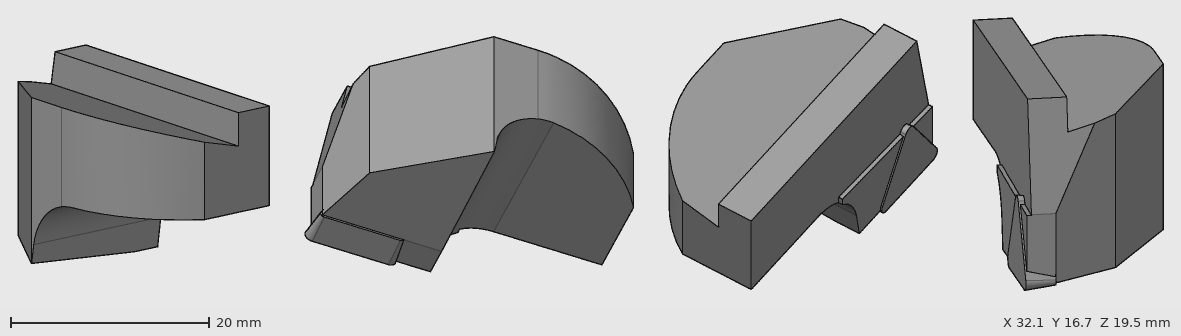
import cadquery as cq
import math


LENGTH = 32.1
TOP_LEFT_X = 2.7
NOSE_X = 0.6
NOSE_TOP_Z = -11.55
BOTTOM_Z = -18.85
BOTTOM_RIGHT_X = 13.6
SHANK_BOTTOM_Z = -10.43
RELIEF_RADIUS = 6.25
RELIEF_CENTRE_X = 20.3
RELIEF_LEAN = 10.0

FRONT_Y = -16.02
NOSE_FRONT_Y = -2.5
BEVEL_CORNER = (3.05, -9.1)
FLAT_START_X = 13.75
FLAT_END_X = 18.55
RIGHT_FRONT_Y = -8.4

RAIL_WIDTH = 4.0
RAIL_HEIGHT = 3.5
TOP_SLOPE = 15.0
BOTTOM_SLOPE = 5.0

PAD_HEIGHT = 0.48
PAD_RIGHT_X = 16.6
PAD_LEFT_Z = -11.62
PAD_RIGHT_Z = -10.82

INSERT_BACK_Y = 0.67
INSERT_BOTTOM_Z = -19.5
INSERT_HEIGHT = 8.8
INSERT_CORNER_RADIUS = 0.8
INSERT_CLEARANCE = 7.0
INSERT_THICKNESS = INSERT_BACK_Y - NOSE_FRONT_Y


def extrude_in_y(outline, start_y, end_y):
    """Extrude a closed XZ outline between two Y positions."""
    return outline.extrude(start_y - end_y).translate((0, start_y, 0))


def side_outline():
    """Holder outline with the leaning nose and the arc relief under the shank."""
    centre_z = SHANK_BOTTOM_Z - RELIEF_RADIUS

    def relief_point(angle):
        return (
            RELIEF_CENTRE_X + RELIEF_RADIUS * math.cos(math.radians(angle)),
            centre_z + RELIEF_RADIUS * math.sin(math.radians(angle)),
        )

    low_angle = 180 - RELIEF_LEAN
    return (
        cq.Workplane("XZ")
        .moveTo(TOP_LEFT_X, 0)
        .lineTo(LENGTH, 0)
        .lineTo(LENGTH, SHANK_BOTTOM_Z)
        .lineTo(RELIEF_CENTRE_X, SHANK_BOTTOM_Z)
        .threePointArc(relief_point((90 + low_angle) / 2), relief_point(low_angle))
        .lineTo(BOTTOM_RIGHT_X, BOTTOM_Z)
        .lineTo(NOSE_X, BOTTOM_Z)
        .lineTo(NOSE_X, NOSE_TOP_Z)
        .close()
    )


def plan_prism():
    """Vertical prism with the bevelled left front and the rounded right front."""
    run = LENGTH - FLAT_END_X
    rise = RIGHT_FRONT_Y - FRONT_Y
    radius = (run**2 + rise**2) / (2 * rise)
    half_angle = math.atan2(rise, run)
    arc_middle = (
        FLAT_END_X + radius * math.sin(half_angle),
        FRONT_Y + radius * (1 - math.cos(half_angle)),
    )
    return (
        cq.Workplane("XY")
        .moveTo(NOSE_X, 0)
        .lineTo(NOSE_X, NOSE_FRONT_Y)
        .lineTo(*BEVEL_CORNER)
        .lineTo(FLAT_START_X, FRONT_Y)
        .lineTo(FLAT_END_X, FRONT_Y)
        .threePointArc(arc_middle, (LENGTH, RIGHT_FRONT_Y))
        .lineTo(LENGTH, 0)
        .close()
        .extrude(BOTTOM_Z)
    )


def end_prism():
    """Prism along X with the rail, the sloped top and the sloped bottom."""
    top_rise = (-FRONT_Y - RAIL_WIDTH) * math.tan(math.radians(TOP_SLOPE))
    bottom_rise = (NOSE_FRONT_Y - FRONT_Y) * math.tan(math.radians(BOTTOM_SLOPE))
    return (
        cq.Workplane("YZ")
        .moveTo(0, 0)
        .lineTo(-RAIL_WIDTH, 0)
        .lineTo(-RAIL_WIDTH, -RAIL_HEIGHT)
        .lineTo(FRONT_Y, -RAIL_HEIGHT + top_rise)
        .lineTo(FRONT_Y, BOTTOM_Z + bottom_rise)
        .lineTo(NOSE_FRONT_Y, BOTTOM_Z)
        .lineTo(0, BOTTOM_Z)
        .close()
        .extrude(LENGTH)
    )


def make_pad():
    """Low raised pad on the back plane, trimmed to the holder's side outline."""
    outline = cq.Workplane("XZ").polyline([
        (NOSE_X, PAD_LEFT_Z),
        (PAD_RIGHT_X, PAD_RIGHT_Z),
        (PAD_RIGHT_X, BOTTOM_Z),
        (NOSE_X, BOTTOM_Z),
    ]).close()
    pad = extrude_in_y(outline, PAD_HEIGHT, 0)
    return pad.intersect(extrude_in_y(side_outline(), PAD_HEIGHT, 0))


def make_insert():
    """Equilateral insert with rounded corners, narrowing toward its seat."""
    radius = INSERT_CORNER_RADIUS
    centre_side = (INSERT_HEIGHT - 2 * radius) / math.sin(math.radians(60))
    middle_x = radius + centre_side / 2
    base_z = INSERT_BOTTOM_Z + radius
    outline = (
        cq.Workplane("XZ")
        .polyline([
            (radius, base_z),
            (radius + centre_side, base_z),
            (middle_x, INSERT_BOTTOM_Z + INSERT_HEIGHT - radius),
        ])
        .close()
        .offset2D(radius)
    )
    insert = outline.extrude(INSERT_THICKNESS, taper=INSERT_CLEARANCE)
    return insert.translate((0, INSERT_BACK_Y, 0))


def make_holder(insert):
    """Holder body with its pad and a seat that fits the insert."""
    body = extrude_in_y(side_outline(), 0, FRONT_Y)
    body = body.intersect(plan_prism()).intersect(end_prism())
    return body.union(make_pad()).cut(insert)


cutting_insert = make_insert()
holder = make_holder(cutting_insert)

result = cq.Compound.makeCompound([holder.solids().val(), cutting_insert.val()])